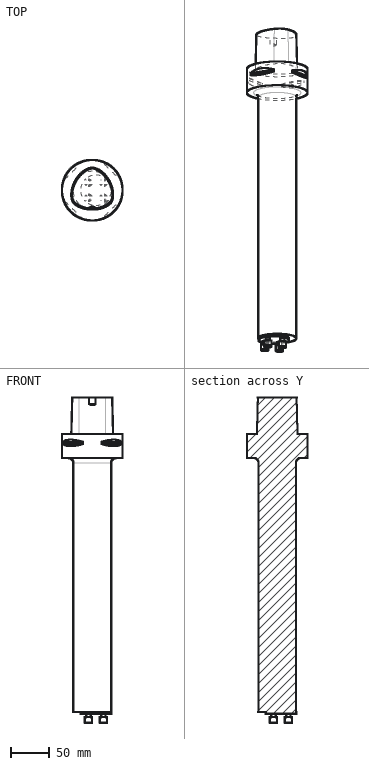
import cadquery as cq
import math

total_length = 427.0
flange_top = 379.0
flange_bottom = 347.0
shank_bottom = 14.5
pad_bottom = 12.0
bolt_head_top = 7.5

flange_diameter = 80.0
flange_radius = flange_diameter / 2
shank_diameter = 50.0
shank_radius = shank_diameter / 2
neck_fillet = 6.0

lobe_base_width = 55.0
lobe_eccentricity = 2.0
lobe_count = 3
lobe_half_angle = 33
points_per_curve = 9
taper_per_side = 1 / 40
lobe_length = total_length - flange_top
lobe_base_radius = lobe_base_width / 2
lobe_top_radius = lobe_base_radius - lobe_length * taper_per_side

notch_diameter = 10.0
notch_straight_depth = 8.5
notch_tip_angle = 118
notch_y = -26.5

groove_height = 367.2
groove_floor = 35.5
groove_floor_width = 2.5
groove_mouth_width = 8.5
groove_count = 4
first_groove_angle = 45

pad_diameter = 40.0
pad_x = shank_radius - pad_diameter / 2
bolt_spacing = 19.5
bolt_head_diameter = 10.0
bolt_shank_diameter = 6.0
bolt_chamfer = 1.0


def cylinder(diameter, bottom, top, x=0.0, y=0.0):
    disc = cq.Workplane("XY").workplane(offset=bottom).center(x, y).circle(diameter / 2)
    return disc.extrude(top - bottom)


def lobe_point(mean_radius, height, angle):
    """Point whose tangent line lies mean_radius + lobe_eccentricity * cos(3 * angle) from the axis."""
    toward_lobe = (
        mean_radius * math.cos(angle)
        + 2 * lobe_eccentricity * math.cos(2 * angle)
        - lobe_eccentricity * math.cos(4 * angle)
    )
    across = (
        mean_radius * math.sin(angle)
        - 2 * lobe_eccentricity * math.sin(2 * angle)
        - lobe_eccentricity * math.sin(4 * angle)
    )
    return cq.Vector(across, toward_lobe, height)


def lobe_edge(mean_radius, height, start, end):
    step = (end - start) / (points_per_curve - 1)
    angles = [start + step * i for i in range(points_per_curve)]
    points = [lobe_point(mean_radius, height, angle) for angle in angles]
    tangents = [cq.Vector(math.cos(angle), -math.sin(angle), 0) for angle in (start, end)]
    return cq.Edge.makeSpline(points, tangents=tangents)


def lobe_wire(mean_radius, height):
    """Closed outline of three rounded lobes joined by three flatter flanks."""
    pitch = 2 * math.pi / lobe_count
    half_lobe = math.radians(lobe_half_angle)
    edges = []
    for i in range(lobe_count):
        middle = i * pitch
        edges.append(lobe_edge(mean_radius, height, middle - half_lobe, middle + half_lobe))
        edges.append(lobe_edge(mean_radius, height, middle + half_lobe, middle + pitch - half_lobe))
    return cq.Wire.assembleEdges(edges)


def turned_body():
    profile = (
        cq.Workplane("XZ")
        .moveTo(0, shank_bottom)
        .lineTo(shank_radius, shank_bottom)
        .lineTo(shank_radius, flange_bottom - neck_fillet)
        .radiusArc((shank_radius + neck_fillet, flange_bottom), neck_fillet)
        .lineTo(flange_radius, flange_bottom)
        .lineTo(flange_radius, flange_top)
        .lineTo(0, flange_top)
        .close()
    )
    return profile.revolve(360, (0, 0, 0), (0, 1, 0))


def lobed_shank():
    wires = [lobe_wire(lobe_base_radius, flange_top), lobe_wire(lobe_top_radius, total_length)]
    return cq.Workplane(cq.Solid.makeLoft(wires, True))


def key_notch():
    radius = notch_diameter / 2
    cone_top = total_length - notch_straight_depth
    cone_depth = radius / math.tan(math.radians(notch_tip_angle / 2))
    profile = (
        cq.Workplane("XZ", origin=(0, notch_y, 0))
        .moveTo(0, total_length)
        .lineTo(radius, total_length)
        .lineTo(radius, cone_top)
        .lineTo(0, cone_top - cone_depth)
        .close()
    )
    return profile.revolve(360, (0, 0, 0), (0, 1, 0))


def gripper_groove(angle):
    half_floor = groove_floor_width / 2
    half_mouth = groove_mouth_width / 2
    groove = (
        cq.Workplane("XZ")
        .polyline(
            [
                (groove_floor, groove_height - half_floor),
                (flange_radius, groove_height - half_mouth),
                (flange_radius, groove_height + half_mouth),
                (groove_floor, groove_height + half_floor),
            ]
        )
        .close()
        .extrude(flange_radius, both=True)
    )
    return groove.rotate((0, 0, 0), (0, 0, 1), angle)


def bolt(x, y):
    head = cylinder(bolt_head_diameter, 0, bolt_head_top, x, y).faces("<Z").chamfer(bolt_chamfer)
    return head.union(cylinder(bolt_shank_diameter, bolt_head_top, pad_bottom, x, y))


result = turned_body().union(lobed_shank()).cut(key_notch())

for index in range(groove_count):
    result = result.cut(gripper_groove(first_groove_angle + index * 360 / groove_count))

result = result.union(cylinder(pad_diameter, pad_bottom, shank_bottom, pad_x))

bolt_offset = bolt_spacing / 2
for x_side in (-1, 1):
    for y_side in (-1, 1):
        result = result.union(bolt(pad_x + x_side * bolt_offset, y_side * bolt_offset))